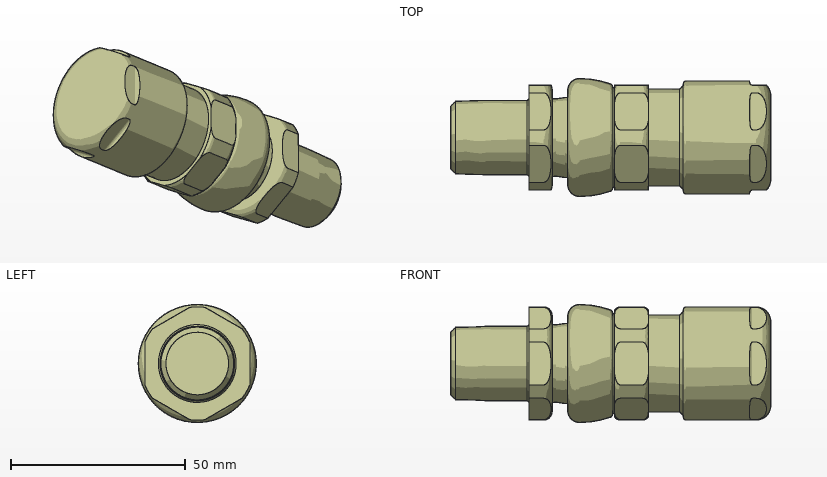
import cadquery as cq
import math


hex_across_flats = 30.0
hex_corner_radius = 32.4 / 2
flat_distance = hex_across_flats / 2
flat_count = 6

entry_end = 33.45
coupling_end = 46.35
body_end = 65.5
gland_end = 91.55

tip_chamfer = 1.45
thread_radius = 21.34 / 2
thread_taper = 1 / 32
taper_end = 10.0
thread_end = 21.9
shoulder_radius = 22.26 / 2
entry_hex_start = 22.4
entry_hex_end = 29.05
entry_hex_round = 2.5
neck_root_radius = 11.2
neck_waist_radius = 11.1
neck_waist = 30.15
neck_end_radius = 23.0 / 2
neck_cone_end = 32.8

coupling_radius = 33.8 / 2
coupling_front_round = 3.45
coupling_crown_radius = 26.0
coupling_rear_round = 1.0

collar_radius = 14.3
body_hex_start = 46.9
body_hex_end = 56.5
body_hex_round = 2.0
body_hex_round_length = 1.65
barrel_radius = 27.8 / 2

gland_radius = hex_corner_radius
gland_lip = 1.0
gland_front_round = 0.85
gland_rear_round = 4.2
gland_flats_start = 85.5
gland_flat_fillet = 0.9


def hex_prism(start, end):
    """Hexagonal prism along X with two of its flats facing -Y and +Y."""
    prism = cq.Workplane("YZ").workplane(offset=start)
    corner_diameter = hex_across_flats / math.cos(math.pi / flat_count)
    prism = prism.polygon(flat_count, corner_diameter).extrude(end - start)
    return prism.rotate((0, 0, 0), (1, 0, 0), 180 / flat_count)


def revolve_about_x(profile):
    """Turn a closed X-radius profile into a round solid."""
    return profile.close().revolve(360, (0, 0, 0), (1, 0, 0))


def arc_point(centre, radius, angle):
    """Point on an arc, with the angle in degrees from +X."""
    turn = math.radians(angle)
    return (centre[0] + radius * math.cos(turn), centre[1] + radius * math.sin(turn))


def make_entry_item():
    taper_tip_radius = thread_radius - (taper_end - tip_chamfer) * thread_taper
    shank = revolve_about_x(
        cq.Workplane("XY")
        .polyline([
            (0, 0),
            (0, taper_tip_radius - tip_chamfer),
            (tip_chamfer, taper_tip_radius),
            (taper_end, thread_radius),
            (thread_end, thread_radius),
            (entry_hex_start, shoulder_radius),
            (entry_hex_end, neck_root_radius),
            (neck_waist, neck_waist_radius),
            (neck_cone_end, neck_end_radius),
            (entry_end, neck_end_radius),
            (entry_end, 0),
        ])
    )
    envelope = (
        cq.Workplane("YZ")
        .workplane(offset=entry_hex_start)
        .circle(hex_corner_radius)
        .extrude(entry_hex_end - entry_hex_start)
        .faces(">X").edges().fillet(entry_hex_round)
    )
    return shank.union(hex_prism(entry_hex_start, entry_hex_end).intersect(envelope))


def make_coupling_nut():
    crown_start = entry_end + coupling_front_round
    front_centre = (crown_start, coupling_radius - coupling_front_round)
    crown_centre = (crown_start, coupling_radius - coupling_crown_radius)
    crown_sweep = math.degrees(math.asin((coupling_end - crown_start) / coupling_crown_radius))
    ring = revolve_about_x(
        cq.Workplane("XY")
        .moveTo(entry_end, 0)
        .lineTo(entry_end, front_centre[1])
        .threePointArc(
            arc_point(front_centre, coupling_front_round, 135),
            (crown_start, coupling_radius),
        )
        .threePointArc(
            arc_point(crown_centre, coupling_crown_radius, 90 - crown_sweep / 2),
            arc_point(crown_centre, coupling_crown_radius, 90 - crown_sweep),
        )
        .lineTo(coupling_end, 0)
    )
    return ring.faces(">X").edges().fillet(coupling_rear_round)


def make_middle_body():
    round_sweep = math.degrees(math.asin(body_hex_round_length / body_hex_round))
    round_centre_radius = hex_corner_radius - body_hex_round
    front_centre = (body_hex_start + body_hex_round_length, round_centre_radius)
    rear_centre = (body_hex_end - body_hex_round_length, round_centre_radius)
    envelope = revolve_about_x(
        cq.Workplane("XY")
        .moveTo(body_hex_start, 0)
        .lineTo(*arc_point(front_centre, body_hex_round, 90 + round_sweep))
        .threePointArc(
            arc_point(front_centre, body_hex_round, 90 + round_sweep / 2),
            (front_centre[0], hex_corner_radius),
        )
        .lineTo(rear_centre[0], hex_corner_radius)
        .threePointArc(
            arc_point(rear_centre, body_hex_round, 90 - round_sweep / 2),
            arc_point(rear_centre, body_hex_round, 90 - round_sweep),
        )
        .lineTo(body_hex_end, 0)
    )
    hexagon = hex_prism(body_hex_start, body_hex_end).intersect(envelope)
    shank = revolve_about_x(
        cq.Workplane("XY")
        .polyline([
            (coupling_end, 0),
            (coupling_end, collar_radius),
            (body_hex_start, collar_radius),
            (body_hex_start, barrel_radius),
            (body_end, barrel_radius),
            (body_end, 0),
        ])
    )
    return hexagon.union(shank)


def flat_cutter():
    """Tool for the flat facing +Y: a slab whose front lower edge is rounded."""
    slab_height = gland_radius
    slab_length = 2 * (gland_end - gland_flats_start)
    slab = cq.Workplane("XY").box(
        slab_length, slab_height, 2 * gland_radius, centered=(False, False, True)
    )
    slab = slab.edges("<X and <Y").fillet(gland_flat_fillet)
    return slab.translate((gland_flats_start, flat_distance, 0))


def make_gland_nut():
    lip_end = body_end + gland_lip
    front_centre = (lip_end + gland_front_round, gland_radius - gland_front_round)
    rear_centre = (gland_end - gland_rear_round, gland_radius - gland_rear_round)
    nut = revolve_about_x(
        cq.Workplane("XY")
        .moveTo(body_end, 0)
        .lineTo(body_end, barrel_radius)
        .lineTo(lip_end, barrel_radius + gland_lip)
        .lineTo(lip_end, front_centre[1])
        .threePointArc(
            arc_point(front_centre, gland_front_round, 135),
            (front_centre[0], gland_radius),
        )
        .lineTo(rear_centre[0], gland_radius)
        .threePointArc(
            arc_point(rear_centre, gland_rear_round, 45),
            (gland_end, rear_centre[1]),
        )
        .lineTo(gland_end, 0)
    )
    for index in range(flat_count):
        nut = nut.cut(flat_cutter().rotate((0, 0, 0), (1, 0, 0), index * 360 / flat_count))
    return nut


entry_item = make_entry_item()
coupling_nut = make_coupling_nut()
middle_body = make_middle_body()
gland_nut = make_gland_nut()

result = cq.Compound.makeCompound([
    entry_item.solids().val(),
    coupling_nut.solids().val(),
    middle_body.solids().val(),
    gland_nut.solids().val(),
])